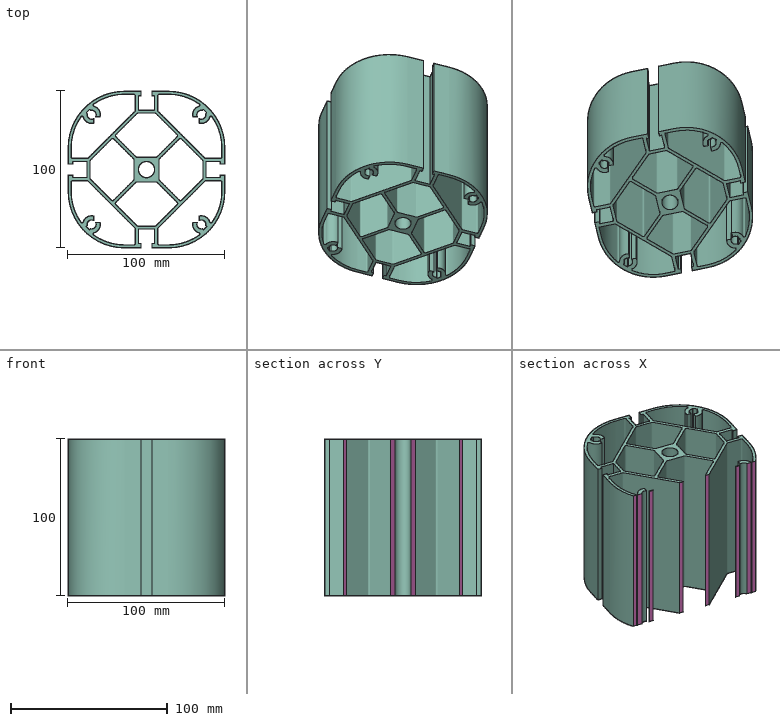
import cadquery as cq
import math

SIDE = 100.0
LENGTH = 100.0
CORNER_RADIUS = 36.0
WALL = 2.0
HALF_SIDE = SIDE / 2
ARC_CENTRE = HALF_SIDE - CORNER_RADIUS

SLOT_MOUTH = 7.0
SLOT_WIDTH = 10.0
SLOT_DEPTH = 12.0
SLOT_WALL = 2.25
LIP_THICKNESS = 3.0
SLOT_FLOOR = HALF_SIDE - SLOT_DEPTH

FRAME_WALL = 2.0
WEB_THICKNESS = 2.0
FRAME_FLAT = SLOT_FLOOR - FRAME_WALL
FRAME_CORNER = 5.8
FRAME_DIAGONAL = FRAME_FLAT + FRAME_CORNER
CAVITY_DIAGONAL = FRAME_DIAGONAL + FRAME_WALL * math.sqrt(2)

BLOCK_SIDE = 16.0
BORE_DIAMETER = 10.2

BOSS_CENTRE = 35.0
BOSS_RADIUS = 5.6
SCREW_RADIUS = 2.8
BOSS_OPENING = 1.4
NOTCH_WIDTH = 3.0
NOTCH_REACH = 3.3

BOSS_FILLET = 0.8
CAVITY_FILLET = 0.8
CELL_FILLET = 1.0

QUARTER_TURNS = (0, 90, 180, 270)
CORNER_ANGLE = 45
PICK_REACH = 0.05


def around_axis(solid):
    """Return the solid and its three quarter-turn copies about Z."""
    copies = cq.Workplane("XY")
    for angle in QUARTER_TURNS:
        copies = copies.add(solid.rotate((0, 0, 0), (0, 0, 1), angle))
    return copies.combine()


def prism(points):
    """Extrude a closed polygon over the full length."""
    return cq.Workplane("XY").polyline(points).close().extrude(LENGTH)


def cylinder(x, y, radius):
    """Full-length cylinder centred on (x, y)."""
    return cq.Workplane("XY").center(x, y).circle(radius).extrude(LENGTH)


def box(x_min, x_max, y_min, y_max):
    """Full-length rectangular prism."""
    return prism([(x_min, y_min), (x_max, y_min), (x_max, y_max), (x_min, y_max)])


def outer_body():
    """Solid bar with the rounded-square outline of the profile."""
    body = cq.Workplane("XY").rect(SIDE, SIDE).extrude(LENGTH)
    return body.edges("|Z").fillet(CORNER_RADIUS)


def t_slot():
    """Slot in the +Y side: a narrow mouth opening into a wider channel."""
    mouth = box(-SLOT_MOUTH / 2, SLOT_MOUTH / 2, SLOT_FLOOR, HALF_SIDE)
    channel = box(-SLOT_WIDTH / 2, SLOT_WIDTH / 2, SLOT_FLOOR, HALF_SIDE - LIP_THICKNESS)
    return mouth.union(channel)


def inner_cell():
    """Cell between two diagonal webs, on the +Y side of the centre block."""
    web_offset = WEB_THICKNESS / math.sqrt(2)
    block_y = BLOCK_SIDE / 2
    block_x = block_y - web_offset
    tip_x = (FRAME_DIAGONAL - web_offset) / 2
    tip_y = (FRAME_DIAGONAL + web_offset) / 2
    cell = prism([
        (-block_x, block_y),
        (block_x, block_y),
        (tip_x, tip_y),
        (FRAME_CORNER, FRAME_FLAT),
        (-FRAME_CORNER, FRAME_FLAT),
        (-tip_x, tip_y),
    ])
    return cell.edges("|Z").fillet(CELL_FILLET)


def boss():
    """Open screw boss of the +X +Y corner, without its screw hole."""
    arm_end = BOSS_CENTRE - BOSS_OPENING
    opening = box(0, arm_end, 0, arm_end)
    return cylinder(BOSS_CENTRE, BOSS_CENTRE, BOSS_RADIUS).cut(opening)


def screw_hole():
    """Screw hole with a straight-sided notch toward the corner of the profile."""
    notch = (
        cq.Workplane("XY")
        .center(BOSS_CENTRE, BOSS_CENTRE)
        .transformed(rotate=(0, 0, CORNER_ANGLE))
        .center(NOTCH_REACH / 2, 0)
        .rect(NOTCH_REACH, NOTCH_WIDTH)
        .extrude(LENGTH)
    )
    return cylinder(BOSS_CENTRE, BOSS_CENTRE, SCREW_RADIUS).union(notch)


def boss_roots():
    """Points where the boss circle meets the inner arc of the corner wall."""
    arc_radius = CORNER_RADIUS - WALL
    distance = (BOSS_CENTRE - ARC_CENTRE) * math.sqrt(2)
    along = (arc_radius**2 - BOSS_RADIUS**2 + distance**2) / (2 * distance)
    across = math.sqrt(arc_radius**2 - along**2)
    near = ARC_CENTRE + (along - across) / math.sqrt(2)
    far = ARC_CENTRE + (along + across) / math.sqrt(2)
    return [(near, far), (far, near)]


def edges_at(solid, points):
    """Select the lengthwise edges of a solid that pass through the given points."""
    selection = cq.Workplane("XY")
    for x, y in points:
        around_point = cq.selectors.BoxSelector(
            (x - PICK_REACH, y - PICK_REACH, 0),
            (x + PICK_REACH, y + PICK_REACH, LENGTH),
        )
        selection = selection.add(solid.edges("|Z").edges(around_point))
    return selection.vals()


def fillet_edges_at(solid, points, radius):
    """Round the lengthwise edges at the given points."""
    return solid.newObject(edges_at(solid, points)).fillet(radius)


def corner_cavity():
    """Hollow of the +X +Y corner, with the screw boss standing in it."""
    side = SLOT_WIDTH / 2 + SLOT_WALL
    wall = HALF_SIDE - WALL
    knee = CAVITY_DIAGONAL - side
    middle = ARC_CENTRE + (CORNER_RADIUS - WALL) / math.sqrt(2)
    cavity = (
        cq.Workplane("XY")
        .moveTo(side, wall)
        .lineTo(ARC_CENTRE, wall)
        .threePointArc((middle, middle), (wall, ARC_CENTRE))
        .lineTo(wall, side)
        .lineTo(knee, side)
        .lineTo(side, knee)
        .close()
        .extrude(LENGTH)
    )
    plain_corners = [(side, wall), (wall, side), (side, knee), (knee, side)]
    cavity = fillet_edges_at(cavity, plain_corners, CAVITY_FILLET)
    cavity = cavity.cut(boss())
    return fillet_edges_at(cavity, boss_roots(), BOSS_FILLET)


result = (
    outer_body()
    .cut(around_axis(t_slot()))
    .cut(around_axis(inner_cell()))
    .cut(around_axis(corner_cavity()))
    .cut(around_axis(screw_hole()))
    .cut(cylinder(0, 0, BORE_DIAMETER / 2))
)